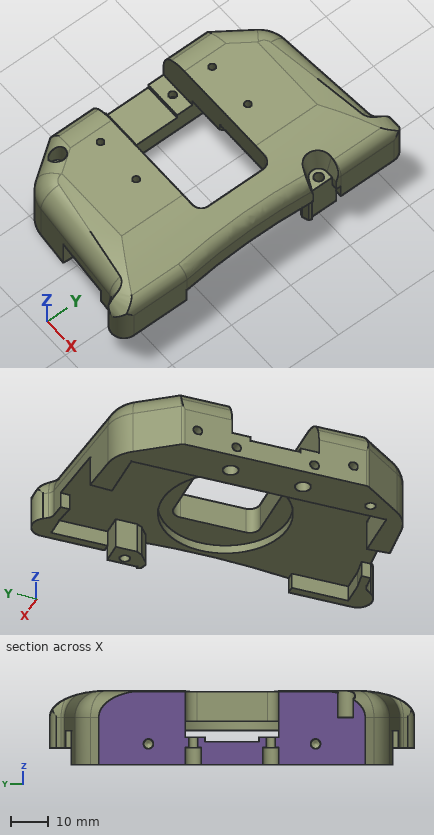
import cadquery as cq
import math

LENGTH = 57.49
WIDTH = 96.0
HEIGHT = 19.5
MARGIN = 12.0

FRONT_HALF_WIDTH = 26.1
CORNER_X = 10.72
CORNER_Y = 41.05
CORNER_RADIUS = 10.0
FRONT_EDGE_RADIUS = 1.5
FLARE_X = 48.6
FLARE_Y = 44.22
FLARE_ANGLE = math.radians(55.0)
FLARE_RADIUS = 2.2
EAR_RADIUS = 4.1
EAR_X = LENGTH - EAR_RADIUS
BACK_WAIST_X = 55.85
BACK_WAIST_HALF_WIDTH = 26.0

SIDE_ROUND = 7.0
FRONT_WALL_TOP = 11.5
FRONT_CURVE_LOWER = (0.8, 15.2)
FRONT_CURVE_UPPER = (3.25, 18.15)
FRONT_CURVE_END_X = 8.7
BACK_ROUND = 4.0
SLOPE_START_X = 38.7
SLOPE_DROP = 2.3
BACK_OVERSHOOT = 1.0
EAR_RAMP_LENGTH = 15.0

OPENING_HALF_WIDTH = 12.25
OPENING_BACK_X = 45.6
OPENING_CORNER_RADIUS = 3.0
BRIDGE_LENGTH = 12.2
BRIDGE_HEIGHT = 7.3
CHANNEL_HALF_WIDTH = 7.1
CHANNEL_FLOOR = 6.1

ROOF_HEIGHT = 9.0
RECESS_ROOF = 11.5
RECESS_RADIUS = 17.8
RECESS_X = 36.5
FRONT_CAVITY_HALF_WIDTH = 36.0
SKIRT_THICKNESS = 2.3
WINDOW_START_X = 26.3
WINDOW_START_OUTER_X = 25.8
WINDOW_END_X = 43.6
REAR_SKIRT_BOTTOM = 4.36

PILOT_DIAMETER = 2.05
PILOT_DEPTH = 6.0
PILOT_XS = (12.3, 27.3)
PILOT_Y = 18.85
BRIDGE_HOLE_DIAMETER = 2.3
BRIDGE_HOLE_X = 6.44
BRIDGE_HOLE_Y = 10.2
BRIDGE_HEAD_DIAMETER = 4.2
BRIDGE_HEAD_DEPTH = 4.5
FRONT_HOLE_DIAMETER = 2.5
OUTER_FRONT_HOLE_Y = 22.0
OUTER_FRONT_HOLE_Z = 5.5
OUTER_FRONT_HOLE_DEPTH = 8.0
INNER_FRONT_HOLE_Y = 11.0
INNER_FRONT_HOLE_Z = 2.9
DRILL_POINT_ANGLE = 118.0

SCREW_DIAMETER = 2.8
SCREW_SEAT = 12.5
CORNER_SCREW_X = 8.03
CORNER_SCREW_Y = -29.9
SCREW_HEAD_DIAMETER = 5.0
NOTCH_SCREW_X = 53.3
NOTCH_SCREW_Y = 21.9
NOTCH_FLOOR_RADIUS = 2.7
NOTCH_TOP_RADIUS = 4.5
NOTCH_BACK_X = 55.6
NOTCH_FLANK_ANGLE = math.radians(25.0)
BOSS_OUTLINE = (
    (49.3, 26.0),
    (49.3, 20.0),
    (50.1, 18.4),
    (53.0, 16.1),
    (54.0, 15.7),
    (55.9, 16.4),
    (56.2, 17.3),
    (NOTCH_BACK_X, 19.0),
    (NOTCH_BACK_X, 26.0),
)


def box(x0, x1, y0, y1, z0, z1):
    return cq.Workplane("XY").box(x1 - x0, y1 - y0, z1 - z0, centered=False).translate((x0, y0, z0))


def cylinder(x, y, diameter, z0, z1):
    return cq.Workplane("XY", origin=(x, y, z0)).circle(diameter / 2).extrude(z1 - z0)


def side_rounded_block():
    """Front and flaring sides with rounded top edges, left long at the back."""
    flare_end_x = LENGTH + MARGIN
    flare_end_y = FLARE_Y + (flare_end_x - FLARE_X) * math.tan(FLARE_ANGLE)
    half = [
        (0, FRONT_HALF_WIDTH),
        (CORNER_X, CORNER_Y),
        (FLARE_X, FLARE_Y),
        (flare_end_x, flare_end_y),
    ]
    outline = half + [(x, -y) for x, y in reversed(half)]
    block = cq.Workplane("XY").polyline(outline).close().extrude(HEIGHT)
    radii = (FRONT_EDGE_RADIUS, CORNER_RADIUS, FLARE_RADIUS)
    for (x, y), radius in zip(half, radii):
        for side in (1, -1):
            corner = cq.selectors.NearestToPointSelector((x, side * y, HEIGHT / 2))
            block = block.edges(corner).fillet(radius)
    return block.faces(">Z").edges("not(>X)").fillet(SIDE_ROUND)


def front_rounded_block():
    """Long bar along Y whose front runs into the top through three arcs."""
    upper_x, upper_z = FRONT_CURVE_UPPER
    run = FRONT_CURVE_END_X - upper_x
    rise = HEIGHT - upper_z
    end_radius = (run**2 + rise**2) / (2 * rise)
    half_turn = math.asin(run / end_radius) / 2
    middle = (
        FRONT_CURVE_END_X - end_radius * math.sin(half_turn),
        HEIGHT - end_radius * (1 - math.cos(half_turn)),
    )
    return (
        cq.Workplane("XZ", origin=(0, WIDTH, 0))
        .moveTo(0, 0)
        .lineTo(0, FRONT_WALL_TOP)
        .tangentArcPoint(FRONT_CURVE_LOWER, relative=False)
        .tangentArcPoint(FRONT_CURVE_UPPER, relative=False)
        .threePointArc(middle, (FRONT_CURVE_END_X, HEIGHT))
        .lineTo(LENGTH + MARGIN, HEIGHT)
        .lineTo(LENGTH + MARGIN, 0)
        .close()
        .extrude(2 * WIDTH)
    )


def back_rounded_block():
    """Long block with a top that curves down towards a waisted, rounded back edge."""
    half_span = WIDTH / 2 + MARGIN
    past_back = LENGTH + BACK_OVERSHOOT
    plan = (
        cq.Workplane("XY")
        .moveTo(-MARGIN, -half_span)
        .lineTo(LENGTH, -half_span)
        .lineTo(LENGTH, -BACK_WAIST_HALF_WIDTH)
        .threePointArc((BACK_WAIST_X, 0), (LENGTH, BACK_WAIST_HALF_WIDTH))
        .lineTo(LENGTH, half_span)
        .lineTo(-MARGIN, half_span)
        .close()
        .extrude(HEIGHT)
    )
    profile = (
        cq.Workplane("XZ", origin=(0, half_span, 0))
        .moveTo(-MARGIN, 0)
        .lineTo(-MARGIN, HEIGHT)
        .lineTo(SLOPE_START_X, HEIGHT)
        .tangentArcPoint((past_back, HEIGHT - SLOPE_DROP), relative=False)
        .lineTo(past_back, 0)
        .close()
        .extrude(2 * half_span)
    )
    block = plan.intersect(profile)
    back_top = cq.selectors.BoxSelector(
        (SLOPE_START_X + MARGIN, -WIDTH, HEIGHT - 2 * SLOPE_DROP), (past_back, WIDTH, HEIGHT)
    )
    return block.edges(back_top).fillet(BACK_ROUND)


def ear_ramp_block():
    """Bar along X whose top falls to both ends as a quarter ellipse."""
    ramp_y = WIDTH / 2 - EAR_RAMP_LENGTH
    base = HEIGHT - SIDE_ROUND
    bar = box(0, LENGTH, -ramp_y, ramp_y, 0, HEIGHT)
    bar = bar.union(box(0, LENGTH, -WIDTH / 2, WIDTH / 2, 0, base))
    for side in (1, -1):
        end = (
            cq.Workplane("YZ", origin=(0, side * ramp_y, base))
            .ellipse(EAR_RAMP_LENGTH, SIDE_ROUND)
            .extrude(LENGTH)
        )
        bar = bar.union(end)
    return bar


def ear_plan_block():
    """Plan limit that rounds the two ears at the back corners."""
    tangent_x = EAR_X - EAR_RADIUS * math.sin(FLARE_ANGLE)
    capsule = (
        cq.Workplane("XY", origin=(EAR_X, 0, 0))
        .slot2D(WIDTH, 2 * EAR_RADIUS, 90)
        .extrude(HEIGHT)
    )
    return box(0, tangent_x, -WIDTH / 2, WIDTH / 2, 0, HEIGHT).union(capsule)


def outer_body():
    body = side_rounded_block().intersect(front_rounded_block())
    body = body.intersect(back_rounded_block())
    return body.intersect(ear_ramp_block()).intersect(ear_plan_block())


def opening():
    """Opening through the top, running out at the front above the bridge."""
    window = box(0, OPENING_BACK_X, -OPENING_HALF_WIDTH, OPENING_HALF_WIDTH, BRIDGE_HEIGHT, HEIGHT)
    window = window.edges("|Z and >X").fillet(OPENING_CORNER_RADIUS)
    channel = box(0, BRIDGE_LENGTH, -CHANNEL_HALF_WIDTH, CHANNEL_HALF_WIDTH, CHANNEL_FLOOR, HEIGHT)
    return window.union(channel)


def underside():
    """Hollow under the roof, the round recess in it and the cut-backs of the walls."""
    inner_side_y = CORNER_Y - SKIRT_THICKNESS
    inner_flare_y = FLARE_Y - SKIRT_THICKNESS
    inner_back_x = LENGTH - SKIRT_THICKNESS
    half = [
        (BRIDGE_LENGTH, FRONT_CAVITY_HALF_WIDTH),
        (WINDOW_START_X, FRONT_CAVITY_HALF_WIDTH),
        (WINDOW_START_X, inner_side_y),
        (FLARE_X, inner_flare_y),
        (inner_back_x, inner_flare_y),
        (inner_back_x, BACK_WAIST_HALF_WIDTH),
        (LENGTH, BACK_WAIST_HALF_WIDTH),
    ]
    outline = half + [(x, -y) for x, y in reversed(half)]
    hollow = cq.Workplane("XY").polyline(outline).close().extrude(ROOF_HEIGHT)
    recess = cylinder(RECESS_X, 0, 2 * RECESS_RADIUS, 0, RECESS_ROOF)
    half_window = [
        (WINDOW_START_X, FRONT_CAVITY_HALF_WIDTH),
        (WINDOW_START_OUTER_X, FLARE_Y),
        (WINDOW_END_X, FLARE_Y),
    ]
    window_outline = half_window + [(x, -y) for x, y in reversed(half_window)]
    windows = cq.Workplane("XY").polyline(window_outline).close().extrude(ROOF_HEIGHT)
    rear = box(WINDOW_END_X, LENGTH, -WIDTH, WIDTH, 0, REAR_SKIRT_BOTTOM)
    return hollow.union(recess).union(windows).union(rear)


def screw_boss():
    """Post below the roof around the notch screw."""
    return cq.Workplane("XY").polyline(BOSS_OUTLINE).close().extrude(RECESS_ROOF)


def notch_mouth(radius, reach):
    """Outline from the screw axis to the back, with flanks tangent to a circle around that axis."""
    sine = math.sin(NOTCH_FLANK_ANGLE)
    cosine = math.cos(NOTCH_FLANK_ANGLE)
    return [
        (0, radius),
        (reach, radius),
        (reach, -(radius + reach * sine) / cosine),
        (-radius * sine, -radius * cosine),
    ]


def notch():
    """Funnel around the back screw, open towards the back."""
    depth = HEIGHT - SCREW_SEAT
    funnel = (
        cq.Workplane("XY", origin=(NOTCH_SCREW_X, NOTCH_SCREW_Y, SCREW_SEAT))
        .circle(NOTCH_FLOOR_RADIUS)
        .workplane(offset=depth)
        .circle(NOTCH_TOP_RADIUS)
        .loft()
    )
    reach = LENGTH - NOTCH_SCREW_X
    floor_outline = notch_mouth(NOTCH_FLOOR_RADIUS, reach)
    top_outline = notch_mouth(NOTCH_TOP_RADIUS, reach)
    channel = (
        cq.Workplane("XY", origin=(NOTCH_SCREW_X, NOTCH_SCREW_Y, SCREW_SEAT))
        .polyline(floor_outline)
        .close()
        .workplane(offset=depth)
        .polyline(top_outline)
        .close()
        .loft(ruled=True)
    )
    back = box(
        NOTCH_BACK_X,
        LENGTH,
        NOTCH_SCREW_Y - NOTCH_TOP_RADIUS,
        NOTCH_SCREW_Y + NOTCH_FLOOR_RADIUS,
        0,
        HEIGHT,
    )
    return funnel.union(channel).union(back)


def drilled(origin, direction, diameter, depth):
    """Blind hole with a drill point, starting at origin."""
    radius = diameter / 2
    point = radius / math.tan(math.radians(DRILL_POINT_ANGLE / 2))
    start = cq.Vector(*origin)
    axis = cq.Vector(*direction)
    shaft = cq.Solid.makeCylinder(radius, depth, start, axis)
    tip = cq.Solid.makeCone(radius, 0, point, start + axis * depth, axis)
    return cq.Workplane(shaft.fuse(tip))


def drill_small_holes(body):
    for side in (1, -1):
        for x in PILOT_XS:
            pilot = (x, side * PILOT_Y, HEIGHT)
            body = body.cut(drilled(pilot, (0, 0, -1), PILOT_DIAMETER, PILOT_DEPTH))
        y = side * BRIDGE_HOLE_Y
        body = body.cut(cylinder(BRIDGE_HOLE_X, y, BRIDGE_HOLE_DIAMETER, 0, BRIDGE_HEIGHT))
        body = body.cut(cylinder(BRIDGE_HOLE_X, y, BRIDGE_HEAD_DIAMETER, 0, BRIDGE_HEAD_DEPTH))
        outer = (0, side * OUTER_FRONT_HOLE_Y, OUTER_FRONT_HOLE_Z)
        body = body.cut(drilled(outer, (1, 0, 0), FRONT_HOLE_DIAMETER, OUTER_FRONT_HOLE_DEPTH))
        inner = cq.Workplane("YZ").center(side * INNER_FRONT_HOLE_Y, INNER_FRONT_HOLE_Z)
        body = body.cut(inner.circle(FRONT_HOLE_DIAMETER / 2).extrude(BRIDGE_HOLE_X))
    return body


def cut_screw_holes(body):
    for x, y in ((CORNER_SCREW_X, CORNER_SCREW_Y), (NOTCH_SCREW_X, NOTCH_SCREW_Y)):
        body = body.cut(cylinder(x, y, SCREW_DIAMETER, 0, HEIGHT))
    head = cylinder(CORNER_SCREW_X, CORNER_SCREW_Y, SCREW_HEAD_DIAMETER, SCREW_SEAT, HEIGHT)
    return body.cut(head).cut(notch())


shell = outer_body().cut(underside()).union(screw_boss()).cut(opening())
result = cut_screw_holes(drill_small_holes(shell))